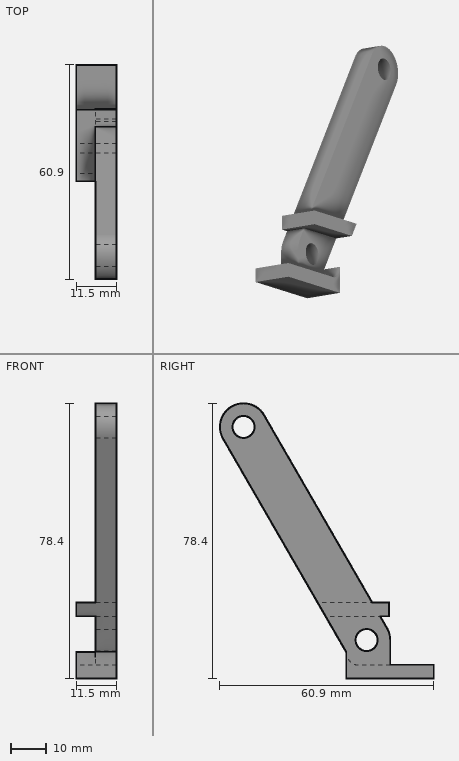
import cadquery as cq
import math

arm_thickness = 6.0
tab_reach = 5.5
pivot_spacing = 70.0
arm_tilt = 60.0
arm_end_radius = 6.75
pivot_hole_diameter = 6.2

foot_length = 25.0
foot_thickness = 4.0
foot_top_z = -7.0
corner_radius = 3.75

shelf_bottom_z = arm_end_radius
shelf_thickness = 4.0
shelf_back_y = 6.42

tilt = math.radians(arm_tilt)
upper_pivot_y = -pivot_spacing * math.cos(tilt)
upper_pivot_z = pivot_spacing * math.sin(tilt)
tangent_y = -arm_end_radius * math.sin(tilt)
tangent_z = -arm_end_radius * math.cos(tilt)
foot_bottom_z = foot_top_z - foot_thickness
foot_back_y = tangent_y + foot_length
full_width = tab_reach + arm_thickness


def sketch_plane(x):
    """Plane with local axes Y and Z, facing +X, at the given X."""
    return cq.Workplane("YZ", origin=(x, 0, 0))


def front_edge_y(z):
    """Y of the arm's straight -Y edge at height z."""
    return tangent_y - (z - tangent_z) / math.tan(tilt)


def make_arm():
    """Straight bar with a round at each pivot, its long axis tilted toward -Y."""
    return (
        sketch_plane(0)
        .center(upper_pivot_y / 2, upper_pivot_z / 2)
        .transformed(rotate=(0, 0, -arm_tilt))
        .slot2D(pivot_spacing + 2 * arm_end_radius, 2 * arm_end_radius)
        .extrude(arm_thickness)
    )


def make_neck():
    """Upright block that joins the arm's lower round to the foot."""
    return (
        sketch_plane(0)
        .moveTo(tangent_y, foot_bottom_z)
        .lineTo(arm_end_radius, foot_bottom_z)
        .lineTo(arm_end_radius, 0)
        .lineTo(0, 0)
        .lineTo(tangent_y, tangent_z)
        .close()
        .extrude(arm_thickness)
    )


def make_foot():
    """Flat foot across the full width, with a lip at its -Y end that curves up to a sharp edge."""
    corner_y = tangent_y + corner_radius
    arc_start_y = corner_y - math.sqrt(corner_radius**2 - (tangent_z - foot_top_z) ** 2)
    diagonal_step = corner_radius * math.sin(math.radians(45))
    arc_middle = (corner_y - diagonal_step, tangent_z - diagonal_step)
    return (
        sketch_plane(-tab_reach)
        .moveTo(tangent_y, foot_bottom_z)
        .lineTo(foot_back_y, foot_bottom_z)
        .lineTo(foot_back_y, foot_top_z)
        .lineTo(arc_start_y, foot_top_z)
        .threePointArc(arc_middle, (tangent_y, tangent_z))
        .close()
        .extrude(full_width)
    )


def make_shelf():
    """Level shelf across the full width, its -Y end flush with the arm's sloping edge."""
    shelf_top_z = shelf_bottom_z + shelf_thickness
    return (
        sketch_plane(-tab_reach)
        .moveTo(shelf_back_y, shelf_bottom_z)
        .lineTo(shelf_back_y, shelf_top_z)
        .lineTo(front_edge_y(shelf_top_z), shelf_top_z)
        .lineTo(front_edge_y(shelf_bottom_z), shelf_bottom_z)
        .close()
        .extrude(full_width)
    )


def make_pivot_holes():
    """Cylinders that cut both pivot holes through the arm."""
    return (
        sketch_plane(0)
        .pushPoints([(0, 0), (upper_pivot_y, upper_pivot_z)])
        .circle(pivot_hole_diameter / 2)
        .extrude(arm_thickness)
    )


body = make_arm().union(make_neck()).union(make_foot()).union(make_shelf())
result = body.cut(make_pivot_holes())